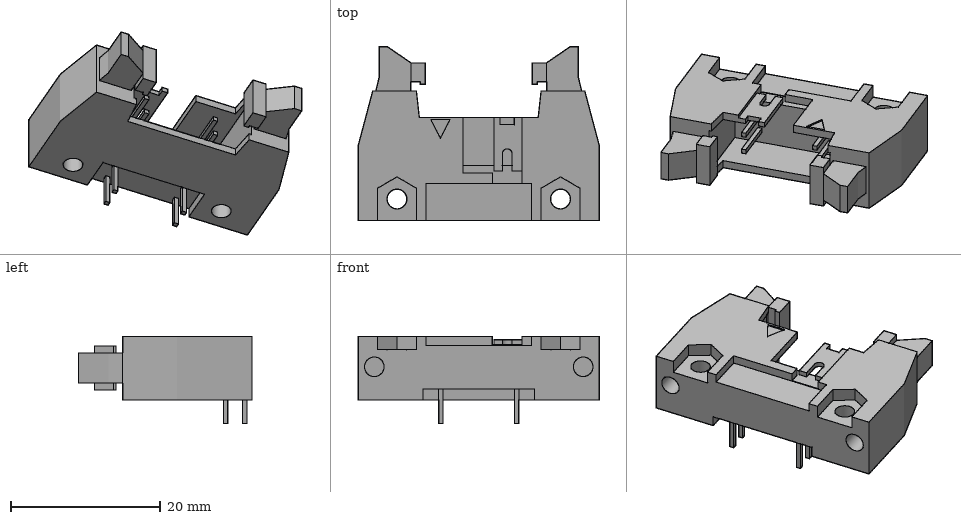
import cadquery as cq

BODY_WIDTH = 32.3
HALF_WIDTH = BODY_WIDTH / 2
BODY_HEIGHT = 8.53
SHOULDER_Y = 10.05
ARM_END_Y = 17.35
ARM_OUTER_X = 14.2
ARM_INNER_X = 8.33
MOUTH_Y = 13.82
MOUTH_X = 7.95

WALL = 1.1
SOCKET_BACK_Y = 7.4
SOCKET_X = 8.65
ROOF_Z = BODY_HEIGHT - WALL

FRONT_RECESS_X = 7.05
FRONT_RECESS_Y = 4.97
FRONT_RECESS_DEPTH = 1.2
KEYWAY_LEFT = -2.1
KEYWAY_RIGHT = 5.78
KEYWAY_BACK_Y = 6.4
STRIP_LEFT = 1.85

PLATE_LEFT = 2.05
PLATE_BACK_Y = 6.62
PLATE_THICKNESS = 0.68
PLATE_SLOT_X = 3.8
PLATE_SLOT_WIDTH = 1.32
PLATE_SLOT_END_Y = 9.6
PLATE_NOTCH_WIDTH = 1.87
PLATE_NOTCH_DEPTH = 0.97

MARK_X = -5.15
MARK_WIDTH = 2.55
MARK_BASE_Y = 13.5
MARK_TIP_Y = 11.0
MARK_DEPTH = 0.2

HOLE_DIAMETER = 2.62
MOUNT_X = 10.95
MOUNT_Y = 2.87
POCKET_WIDTH = 5.2
POCKET_SHOULDER_Y = 4.33
POCKET_PEAK_Y = 5.85
POCKET_DEPTH = 1.78

SIDE_HOLE_X = 14.0
SIDE_HOLE_Z = 4.45
SIDE_HOLE_DEPTH = 3.88

RELIEF_X = 7.5
RELIEF_DEPTH = 1.45
RELIEF_Y = FRONT_RECESS_Y

PIN_SIZE = 0.6
PIN_X = 5.07
PIN_PITCH = 2.55
PIN_FIRST_Y = 1.0
PIN_BOTTOM_Z = -3.15
PIN_TIP_Y = 13.65
PIN_ROOT = 0.32

LATCH_HEIGHT = 4.07
LATCH_MID_Z = 4.3
LATCH_END_Y = 23.3
LATCH_INNER_X = 9.08
LATCH_OUTER_X = 13.35
LATCH_BASE_X = 13.8
LATCH_TIP_X = 12.25
LATCH_BEND_Y = 19.22
HOOK_TOP_Y = 21.12
HOOK_LEDGE_Y = 18.57
HOOK_LIP_Y = 18.22
HOOK_X = 7.15
HOOK_LIP_WIDTH = 0.7
HOOK_HEIGHT = 5.95


def box(x0, x1, y0, y1, z0, z1):
    """Axis-aligned block between two corners."""
    return cq.Workplane("XY").box(x1 - x0, y1 - y0, z1 - z0, centered=False).translate((x0, y0, z0))


def prism(points, z0, z1):
    """Closed outline in XY extruded from z0 to z1."""
    return cq.Workplane("XY").workplane(offset=z0).polyline(points).close().extrude(z1 - z0)


def housing_block():
    half = [
        (HALF_WIDTH, 0),
        (HALF_WIDTH, SHOULDER_Y),
        (ARM_OUTER_X, ARM_END_Y),
        (ARM_INNER_X, ARM_END_Y),
        (MOUTH_X, MOUTH_Y),
    ]
    outline = half + [(-x, y) for x, y in reversed(half)]
    return prism(outline, 0, BODY_HEIGHT)


def roof_openings():
    recess = box(
        -FRONT_RECESS_X, FRONT_RECESS_X, 0, FRONT_RECESS_Y, BODY_HEIGHT - FRONT_RECESS_DEPTH, BODY_HEIGHT
    )
    keyway = box(KEYWAY_LEFT, KEYWAY_RIGHT, KEYWAY_BACK_Y, MOUTH_Y, ROOF_Z, BODY_HEIGHT)
    strip = box(STRIP_LEFT, KEYWAY_RIGHT, FRONT_RECESS_Y, KEYWAY_BACK_Y, ROOF_Z, BODY_HEIGHT)
    mark = prism(
        [
            (MARK_X - MARK_WIDTH / 2, MARK_BASE_Y),
            (MARK_X + MARK_WIDTH / 2, MARK_BASE_Y),
            (MARK_X, MARK_TIP_Y),
        ],
        BODY_HEIGHT - MARK_DEPTH,
        BODY_HEIGHT,
    )
    return recess.union(keyway).union(strip).union(mark)


def mounting_cut(side):
    """Pointed pocket, vertical through hole and blind front hole on one side."""
    x = side * MOUNT_X
    pocket = prism(
        [
            (x - POCKET_WIDTH / 2, 0),
            (x + POCKET_WIDTH / 2, 0),
            (x + POCKET_WIDTH / 2, POCKET_SHOULDER_Y),
            (x, POCKET_PEAK_Y),
            (x - POCKET_WIDTH / 2, POCKET_SHOULDER_Y),
        ],
        BODY_HEIGHT - POCKET_DEPTH,
        BODY_HEIGHT,
    )
    hole = cq.Workplane("XY").center(x, MOUNT_Y).circle(HOLE_DIAMETER / 2).extrude(BODY_HEIGHT)
    front_hole = (
        cq.Workplane("XZ")
        .center(side * SIDE_HOLE_X, SIDE_HOLE_Z)
        .circle(HOLE_DIAMETER / 2)
        .extrude(-SIDE_HOLE_DEPTH)
    )
    return pocket.union(hole).union(front_hole)


def key_plate():
    """Plate resting on the keyway floor, with a round-ended slot and a notch."""
    top = ROOF_Z + PLATE_THICKNESS
    plate = box(PLATE_LEFT, KEYWAY_RIGHT, PLATE_BACK_Y, MOUTH_Y, ROOF_Z, top)
    radius = PLATE_SLOT_WIDTH / 2
    arc_y = PLATE_SLOT_END_Y - radius
    slot = (
        cq.Workplane("XY")
        .workplane(offset=ROOF_Z)
        .moveTo(PLATE_SLOT_X - radius, PLATE_BACK_Y)
        .lineTo(PLATE_SLOT_X + radius, PLATE_BACK_Y)
        .lineTo(PLATE_SLOT_X + radius, arc_y)
        .threePointArc((PLATE_SLOT_X, PLATE_SLOT_END_Y), (PLATE_SLOT_X - radius, arc_y))
        .close()
        .extrude(PLATE_THICKNESS)
    )
    notch_left = PLATE_SLOT_X - PLATE_NOTCH_WIDTH / 2
    notch_right = PLATE_SLOT_X + PLATE_NOTCH_WIDTH / 2
    notch = box(notch_left, notch_right, MOUTH_Y - PLATE_NOTCH_DEPTH, MOUTH_Y, ROOF_Z, top)
    return plate.cut(slot).cut(notch)


def pins(x):
    """Two solder legs and two mating pins at one contact position."""
    half = PIN_SIZE / 2
    group = cq.Workplane("XY")
    for row in range(2):
        leg_y = PIN_FIRST_Y + row * PIN_PITCH
        leg = box(x - half, x + half, leg_y - half, leg_y + half, PIN_BOTTOM_Z, RELIEF_DEPTH + PIN_ROOT)
        pin_z = BODY_HEIGHT / 2 + (row - 0.5) * PIN_PITCH
        mate = box(x - half, x + half, SOCKET_BACK_Y - PIN_ROOT, PIN_TIP_Y, pin_z - half, pin_z + half)
        group = group.union(leg).union(mate)
    return group


def latch():
    """Right-hand latch: lever on the end of the arm, with an inward hook."""
    lever = prism(
        [
            (LATCH_INNER_X, ARM_END_Y),
            (LATCH_BASE_X, ARM_END_Y),
            (LATCH_OUTER_X, LATCH_BEND_Y),
            (LATCH_OUTER_X, LATCH_END_Y),
            (LATCH_TIP_X, LATCH_END_Y),
            (LATCH_INNER_X, HOOK_TOP_Y),
        ],
        LATCH_MID_Z - LATCH_HEIGHT / 2,
        LATCH_MID_Z + LATCH_HEIGHT / 2,
    )
    lip_x = HOOK_X + HOOK_LIP_WIDTH
    hook = prism(
        [
            (LATCH_INNER_X, HOOK_TOP_Y),
            (HOOK_X, HOOK_TOP_Y),
            (HOOK_X, HOOK_LIP_Y),
            (lip_x, HOOK_LIP_Y),
            (lip_x, HOOK_LEDGE_Y),
            (LATCH_INNER_X, HOOK_LEDGE_Y),
        ],
        LATCH_MID_Z - HOOK_HEIGHT / 2,
        LATCH_MID_Z + HOOK_HEIGHT / 2,
    )
    return lever.union(hook)


housing = housing_block()
housing = housing.cut(box(-SOCKET_X, SOCKET_X, SOCKET_BACK_Y, ARM_END_Y, WALL, ROOF_Z))
housing = housing.cut(roof_openings())
housing = housing.cut(box(-RELIEF_X, RELIEF_X, 0, RELIEF_Y, 0, RELIEF_DEPTH))
for side in (-1, 1):
    housing = housing.cut(mounting_cut(side))

right_latch = latch()
result = housing.union(key_plate()).union(right_latch).union(right_latch.mirror("YZ"))
for pin_x in (-PIN_X, PIN_X):
    result = result.union(pins(pin_x))